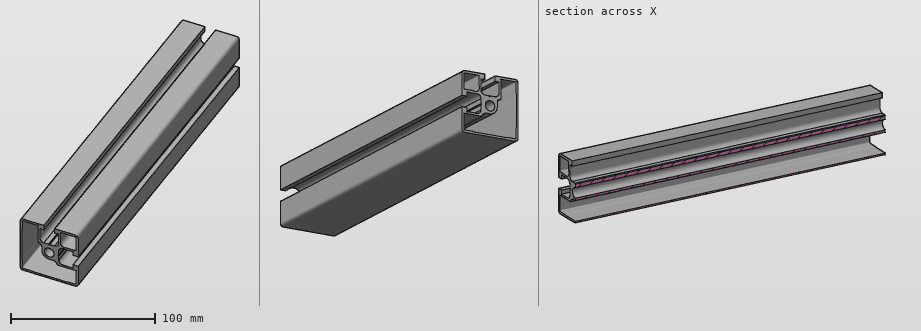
import cadquery as cq
import math

length = 250.0
side = 45.0
corner_radius = 2.5
wall = 1.8
inner_corner_radius = 0.8

relief_depth = 0.2
relief_start = 14.8
relief_ramp = 2.5
relief_end = relief_start - relief_ramp

slot_opening = 8.2
slot_width = 14.2
lip_thickness = 4.0
slot_floor = 7.2
slot_corner_radius = 3.2
groove_width = 1.0
groove_depth = 0.5

web = 1.5
hole_diameter = 7.5
boss_radius = 5.8
web_end = 6.2
flare_radius = 3.5
box_corner_radius = 3.0

half_side = side / 2
room_limit = half_side - wall
web_face = slot_width / 2 + web
flare_length = math.sqrt(flare_radius**2 - (flare_radius - web_face + boss_radius) ** 2)


def prism(outline):
    """Extrude a closed XZ outline over the full length, centred on Y."""
    return outline.extrude(length / 2, both=True)


def rectangle(x_min, x_max, z_min, z_max):
    """Full-length rectangular bar between the given limits."""
    sketch = cq.Workplane("XZ").center((x_min + x_max) / 2, (z_min + z_max) / 2)
    return prism(sketch.rect(x_max - x_min, z_max - z_min))


def outer_bar():
    """Solid square bar with rounded lengthwise edges."""
    bar = rectangle(-half_side, half_side, -half_side, half_side)
    return bar.edges("|Y").fillet(corner_radius)


def upper_slot():
    """T-slot void open to +Z, with rounded floor corners and a centring groove."""
    half_opening = slot_opening / 2
    half_width = slot_width / 2
    cavity = rectangle(-half_width, half_width, slot_floor, half_side - lip_thickness)
    cavity = cavity.edges("|Y and <Z").fillet(slot_corner_radius)
    opening = rectangle(-half_opening, half_opening, slot_floor, half_side)
    groove = prism(
        cq.Workplane("XZ")
        .moveTo(-groove_width / 2, slot_floor)
        .lineTo(0, slot_floor - groove_depth)
        .lineTo(groove_width / 2, slot_floor)
        .close()
    )
    return cavity.union(opening).union(groove)


def side_slot():
    """The upper slot turned a quarter turn about Y, open to +X."""
    return upper_slot().rotate((0, 0, 0), (0, 1, 0), 90)


def round_corners(hollow, corners, radius):
    """Round the lengthwise edges of a hollow nearest to the given (x, z) corners."""
    for x, z in corners:
        nearest = cq.selectors.NearestToPointSelector((x, 0, z))
        hollow = hollow.edges("|Y").edges(nearest).fillet(radius)
    return hollow


def corner_box():
    """Closed hollow between the slots; its webs thicken towards the outer walls."""
    raised = web_face + relief_depth
    box = prism(
        cq.Workplane("XZ")
        .moveTo(web_face, web_face)
        .lineTo(relief_end, web_face)
        .lineTo(relief_start, raised)
        .lineTo(room_limit, raised)
        .lineTo(room_limit, room_limit)
        .lineTo(raised, room_limit)
        .lineTo(raised, relief_start)
        .lineTo(web_face, relief_end)
        .close()
    )
    box = round_corners(box, [(web_face, web_face)], box_corner_radius)
    outer_corners = [(room_limit, raised), (room_limit, room_limit), (raised, room_limit)]
    return round_corners(box, outer_corners, inner_corner_radius)


def main_chamber():
    """L-shaped hollow that wraps around the slots and the rounded core."""
    boss_middle = boss_radius * math.sqrt(0.5)
    flare_foot = web_end - flare_length
    relief_limit = room_limit + relief_depth
    chamber = prism(
        cq.Workplane("XZ")
        .moveTo(-room_limit, -room_limit)
        .lineTo(-relief_start, -room_limit)
        .lineTo(-relief_end, -relief_limit)
        .lineTo(relief_end, -relief_limit)
        .lineTo(relief_start, -room_limit)
        .lineTo(room_limit, -room_limit)
        .lineTo(room_limit, -web_face)
        .lineTo(web_end, -web_face)
        .radiusArc((flare_foot, -boss_radius), -flare_radius)
        .lineTo(0, -boss_radius)
        .threePointArc((-boss_middle, -boss_middle), (-boss_radius, 0))
        .lineTo(-boss_radius, flare_foot)
        .radiusArc((-web_face, web_end), -flare_radius)
        .lineTo(-web_face, room_limit)
        .lineTo(-room_limit, room_limit)
        .lineTo(-room_limit, relief_start)
        .lineTo(-relief_limit, relief_end)
        .lineTo(-relief_limit, -relief_end)
        .lineTo(-room_limit, -relief_start)
        .close()
    )
    corners = [
        (-room_limit, -room_limit),
        (room_limit, -room_limit),
        (-room_limit, room_limit),
    ]
    return round_corners(chamber, corners, inner_corner_radius)


result = (
    outer_bar()
    .cut(upper_slot())
    .cut(side_slot())
    .cut(corner_box())
    .cut(main_chamber())
    .cut(prism(cq.Workplane("XZ").circle(hole_diameter / 2)))
)